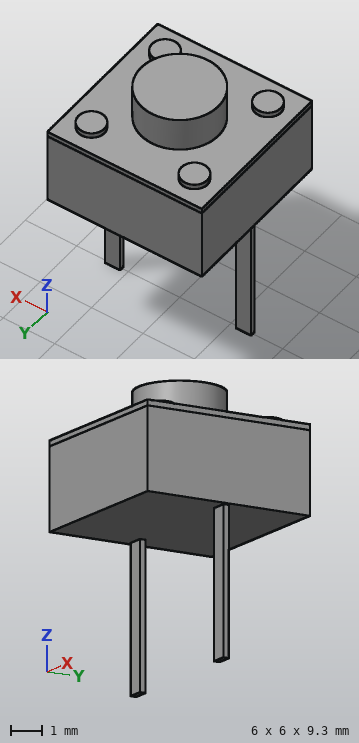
import cadquery as cq

side = 6.0
total_height = 9.3

housing_height = 2.8
cover_thickness = 0.195
cover_top = housing_height + cover_thickness

button_diameter = 3.0
button_height = 1.3

stud_diameter = 1.0
stud_height = 0.195
stud_spacing = 4.0

leg_length = total_height - cover_top - button_height
leg_width = 0.59
leg_thickness = 0.2
leg_spacing = 5.09


def square_slab(thickness, bottom):
    return cq.Workplane("XY", origin=(0, 0, bottom)).rect(side, side).extrude(thickness)


def make_button():
    return cq.Workplane("XY", origin=(0, 0, cover_top)).circle(button_diameter / 2).extrude(button_height)


def make_stud(x, y):
    return cq.Workplane("XY", origin=(x, y, cover_top)).circle(stud_diameter / 2).extrude(stud_height)


def make_leg(x):
    return cq.Workplane("XY", origin=(x, 0, 0)).rect(leg_width, leg_thickness).extrude(-leg_length)


housing = square_slab(housing_height, 0)
cover = square_slab(cover_thickness, housing_height)
button = make_button()

studs = []
for x_side in (-1, 1):
    for y_side in (-1, 1):
        stud = make_stud(x_side * stud_spacing / 2, y_side * stud_spacing / 2)
        studs.append(stud.val())

legs = []
for x_side in (-1, 1):
    legs.append(make_leg(x_side * leg_spacing / 2).val())

result = cq.Compound.makeCompound([housing.val(), cover.val(), button.val(), *studs, *legs])